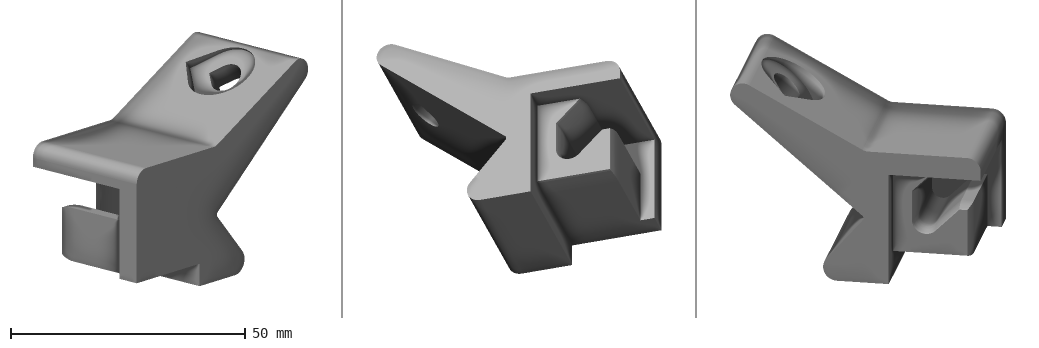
import cadquery as cq
import math

diagonal = math.sqrt(0.5)

width = 30.0
length = 54.4
height = 43.75
half_width = width / 2

wall = 5.0
deck_height = 30.05
ceiling = deck_height - wall
slot_depth = 19.95
nose_radius = 3.0
foot_radius = 3.0
foot_reach = 34.2
knee_radius = 0.65
crease_radius = 2.5

tip_radius = 2.85
upper_angle = math.radians(28)
lower_angle = math.radians(40.3)

hook_front = 3.1
hook_top = 16.85
channel_back = 15.1
channel_bend = 19.4
channel_radius = 2.3
flank_start = 5.8

flare_length = 3.9
flare_inset = 0.55
lip_length = 0.45
lip_inset = 0.7
overcut = 0.55

screw_y = 43.4
head_radius = 7.5
head_depth = 2.25
screw_radius = 3.55
apex_ratio = 1.38
cut_reach = 14.7

hook_left = -half_width + wall
hook_right = half_width - wall


def side_sketch(x):
    """Workplane facing +X, with local coordinates (y, z)."""
    return cq.Workplane("YZ", origin=(x, 0, 0))


tip_y = length - tip_radius
tip_z = height - tip_radius
upper_tangent = (tip_y - tip_radius * math.sin(upper_angle), tip_z + tip_radius * math.cos(upper_angle))
lower_tangent = (tip_y + tip_radius * math.sin(lower_angle), tip_z - tip_radius * math.cos(lower_angle))
crease_y = upper_tangent[0] - (upper_tangent[1] - deck_height) / math.tan(upper_angle)

foot_y = foot_reach - foot_radius
foot_tangent = (foot_y + foot_radius * math.cos(lower_angle), foot_radius + foot_radius * math.sin(lower_angle))
arm_run = (
    (lower_tangent[0] - foot_tangent[0]) * math.cos(lower_angle)
    + (lower_tangent[1] - foot_tangent[1]) * math.sin(lower_angle)
)
knee = (
    lower_tangent[0] - arm_run * math.cos(lower_angle),
    lower_tangent[1] - arm_run * math.sin(lower_angle),
)


def make_body():
    tip_middle = (tip_y + tip_radius * diagonal, tip_z + tip_radius * diagonal)
    nose_offset = nose_radius * (1 - diagonal)
    body = (
        side_sketch(-half_width)
        .moveTo(slot_depth, 0)
        .lineTo(foot_y, 0)
        .threePointArc((foot_reach, foot_radius), foot_tangent)
        .lineTo(*knee)
        .lineTo(*lower_tangent)
        .threePointArc(tip_middle, upper_tangent)
        .lineTo(crease_y, deck_height)
        .lineTo(nose_radius, deck_height)
        .threePointArc((nose_offset, deck_height - nose_offset), (0, deck_height - nose_radius))
        .lineTo(0, ceiling)
        .lineTo(slot_depth, ceiling)
        .close()
        .extrude(width)
    )
    body = body.edges(cq.selectors.NearestToPointSelector((0, *knee))).fillet(knee_radius)
    return body.edges(cq.selectors.NearestToPointSelector((0, crease_y, deck_height))).fillet(crease_radius)


def make_cheek():
    return (
        side_sketch(hook_right)
        .moveTo(0, wall)
        .lineTo(slot_depth, wall)
        .lineTo(slot_depth, ceiling)
        .lineTo(0, ceiling)
        .close()
        .extrude(wall)
    )


def hook_edge(x):
    """Free edge of the hook, from the bottom of the slot back round to the ceiling."""
    bend_y = channel_back - channel_radius
    bend_z = flank_start + hook_top - bend_y + channel_radius / diagonal
    flank_end = (bend_y - channel_radius * diagonal, bend_z - channel_radius * diagonal)
    bend_angle = math.radians(-135 / 2)
    bend_middle = (bend_y + channel_radius * math.cos(bend_angle), bend_z + channel_radius * math.sin(bend_angle))
    return (
        side_sketch(x)
        .moveTo(slot_depth, wall)
        .lineTo(hook_front, wall)
        .lineTo(hook_front, hook_top)
        .lineTo(flank_start, hook_top)
        .lineTo(*flank_end)
        .threePointArc(bend_middle, (channel_back, bend_z))
        .lineTo(channel_back, channel_bend)
        .lineTo(channel_back - (ceiling - channel_bend), ceiling)
    )


def make_flare_cutter():
    """Curved relief with a small lip, carried along the free edge of the hook."""
    flare_run = flare_length - lip_length
    flare_radius = (flare_run**2 + flare_inset**2) / (2 * flare_inset)
    half_angle = math.asin(flare_run / flare_radius) / 2
    arc_middle = (
        flare_length - flare_radius * math.sin(half_angle),
        flare_radius * (1 - math.cos(half_angle)),
    )
    profile = (
        cq.Workplane(cq.Plane((hook_left, slot_depth, wall), xDir=(1, 0, 0), normal=(0, -1, 0)))
        .moveTo(flare_length, 0)
        .threePointArc(arc_middle, (lip_length, flare_inset))
        .lineTo(0, lip_inset)
        .lineTo(-overcut, lip_inset)
        .lineTo(-overcut, 0)
        .close()
    )
    return profile.sweep(hook_edge(hook_left).wire(), transition="right")


def make_hook():
    hook = hook_edge(hook_left).lineTo(slot_depth, ceiling).close().extrude(hook_right - hook_left)
    return hook.cut(make_flare_cutter())


def teardrop(plane, radius, depth):
    """Round prism with a point toward -X, its straight sides tangent to the circle."""
    tangent_x = -radius / apex_ratio
    tangent_y = math.sqrt(radius**2 - tangent_x**2)
    return (
        cq.Workplane(plane)
        .moveTo(-radius * apex_ratio, 0)
        .lineTo(tangent_x, tangent_y)
        .threePointArc((radius, 0), (tangent_x, -tangent_y))
        .close()
        .extrude(depth)
    )


def make_screw_hole():
    """Stepped hole square to the underside of the arm."""
    axis = cq.Vector(0, -math.sin(lower_angle), math.cos(lower_angle))
    rim = cq.Vector(0, screw_y, deck_height + (screw_y - crease_y) * math.tan(upper_angle))
    floor = cq.Plane(rim - axis * head_depth, xDir=(1, 0, 0), normal=axis)
    head = teardrop(floor, head_radius, cut_reach)
    shank = teardrop(floor, screw_radius, -cut_reach)
    return head.union(shank)


result = make_body().union(make_cheek()).union(make_hook()).cut(make_screw_hole())